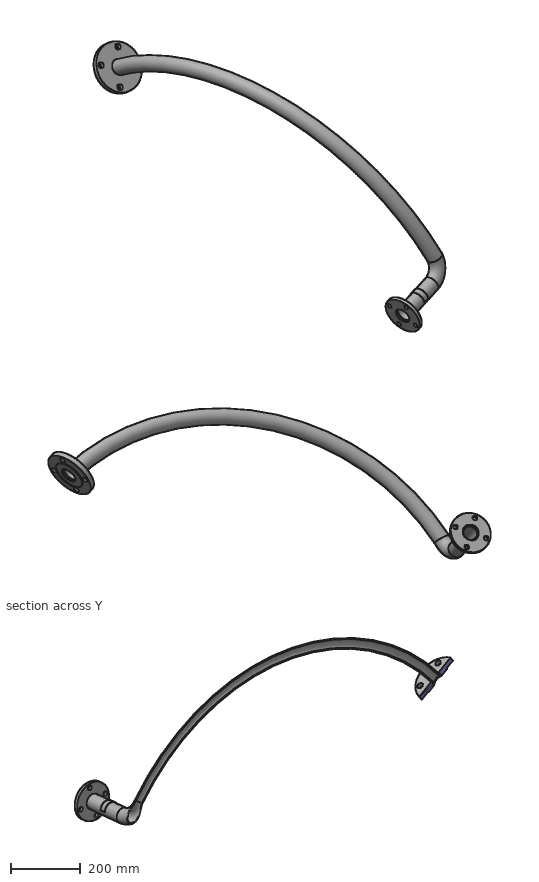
import cadquery as cq
import math

pipe_od = 48.0
pipe_wall = 4.0

arc_radius = 718.0
left_end_angle = 46.7
right_end_angle = 55.4
trim_allowance = 5.0

elbow_radius = 55.0
elbow_dip = 60.0

wall_flange_od = 152.0
wall_flange_thickness = 16.0
wall_flange_tilt = 38.0
raised_face_od = 94.0
raised_face_height = 3.0
wall_bolt_circle = 120.0
wall_bolt_hole = 18.0

outlet_reach = 200.0
outlet_flange_od = 120.0
outlet_flange_thickness = 11.0
outlet_bolt_circle = 95.0
outlet_bolt_hole = 14.0
outlet_bolt_angle = 15.0

bolt_count = 4
pipe_setback = 6.0

label_start = 106.0
label_width = 19.0
label_thickness = 1.0

pipe_radius = pipe_od / 2
bore_radius = pipe_radius - pipe_wall
clearing_size = 3 * pipe_od


def polar(radius, angle):
    """Point in the XZ plane; the angle is measured from +Z towards +X."""
    a = math.radians(angle)
    return cq.Vector(radius * math.sin(a), 0, radius * math.cos(a))


def direction_below_x(angle):
    """Unit direction in the XZ plane, dipping from +X by the angle."""
    return polar(1, 90 + angle)


elbow_direction = direction_below_x(elbow_dip)
elbow_start = polar(arc_radius, right_end_angle)
outlet_axis = elbow_start + elbow_direction * elbow_radius

wall_normal = polar(1, wall_flange_tilt)
wall_centre = polar(arc_radius, -left_end_angle)
wall_face = wall_centre - wall_normal * (wall_flange_thickness / 2)
wall_plane = cq.Plane(origin=wall_face, xDir=(0, 1, 0), normal=wall_normal)
wall_pipe_end = cq.Plane(
    origin=wall_face + wall_normal * (pipe_setback - raised_face_height), xDir=(0, 1, 0), normal=wall_normal
)
elbow_plane = cq.Plane(origin=elbow_start, xDir=(0, 1, 0), normal=elbow_direction)


def outlet_plane(y):
    """Plane across the outlet pipe, facing the outlet (-Y)."""
    return cq.Plane(origin=(outlet_axis.x, y, outlet_axis.z), xDir=(1, 0, 0), normal=(0, -1, 0))


def arc_rod(radius):
    """Solid round rod along the arc, longer than the pipe at both ends."""
    path_start = polar(arc_radius, -left_end_angle - trim_allowance)
    path_end = polar(arc_radius, right_end_angle + trim_allowance)
    path = cq.Edge.makeThreePointArc(path_start, polar(arc_radius, 0), path_end)
    start_direction = direction_below_x(-left_end_angle - trim_allowance)
    start_plane = cq.Plane(origin=path_start, xDir=(0, 1, 0), normal=start_direction)
    return cq.Workplane(start_plane).circle(radius).sweep(cq.Workplane(cq.Wire.assembleEdges([path])))


def trim_block(plane, distance):
    """Block that cuts a pipe end off flat; a negative distance cuts behind the plane."""
    return cq.Workplane(plane).rect(clearing_size, clearing_size).extrude(distance)


def bolt_holes(plane, circle, diameter, first_angle, depth):
    """Evenly spaced cutters for the bolt holes of a flange."""
    return (
        cq.Workplane(plane)
        .polarArray(circle / 2, first_angle, 360, bolt_count)
        .circle(diameter / 2)
        .extrude(depth)
    )


def make_curved_pipe():
    trim_length = clearing_size + arc_radius * math.radians(trim_allowance)
    return (
        arc_rod(pipe_radius)
        .cut(arc_rod(bore_radius))
        .cut(trim_block(wall_pipe_end, -trim_length))
        .cut(trim_block(elbow_plane, trim_length))
    )


def make_elbow():
    return (
        cq.Workplane(elbow_plane)
        .circle(pipe_radius)
        .circle(bore_radius)
        .revolve(90, (-elbow_radius, 0, 0), (-elbow_radius, -1, 0))
    )


def make_outlet_pipe():
    length = outlet_reach - pipe_setback - elbow_radius
    return (
        cq.Workplane(outlet_plane(-elbow_radius))
        .circle(pipe_radius)
        .circle(bore_radius)
        .extrude(length)
    )


def make_label():
    sleeve = (
        cq.Workplane(outlet_plane(-label_start))
        .circle(pipe_radius + label_thickness)
        .circle(pipe_radius)
        .extrude(label_width)
    )
    upper_half = (
        cq.Workplane(outlet_plane(-label_start))
        .rect(clearing_size, clearing_size)
        .extrude(label_width)
        .translate((0, 0, clearing_size / 2))
    )
    return sleeve.intersect(upper_half)


def make_wall_flange():
    disc = cq.Workplane(wall_plane).circle(wall_flange_od / 2).extrude(wall_flange_thickness)
    raised_face = cq.Workplane(wall_plane).circle(raised_face_od / 2).extrude(-raised_face_height)
    holes = bolt_holes(
        wall_plane, wall_bolt_circle, wall_bolt_hole, 180 / bolt_count, wall_flange_thickness
    )
    return disc.union(raised_face).cut(holes).cut(arc_rod(pipe_radius))


def make_outlet_flange():
    back_plane = outlet_plane(outlet_flange_thickness - outlet_reach)
    disc = (
        cq.Workplane(back_plane)
        .circle(outlet_flange_od / 2)
        .circle(pipe_radius)
        .extrude(outlet_flange_thickness)
    )
    holes = bolt_holes(
        back_plane, outlet_bolt_circle, outlet_bolt_hole, -outlet_bolt_angle, outlet_flange_thickness
    )
    return disc.cut(holes)


curved_pipe = make_curved_pipe()
elbow = make_elbow()
outlet_pipe = make_outlet_pipe()
label = make_label()
wall_flange = make_wall_flange()
outlet_flange = make_outlet_flange()

result = cq.Compound.makeCompound([
    curved_pipe.val(),
    elbow.val(),
    outlet_pipe.val(),
    label.val(),
    wall_flange.val(),
    outlet_flange.val(),
])